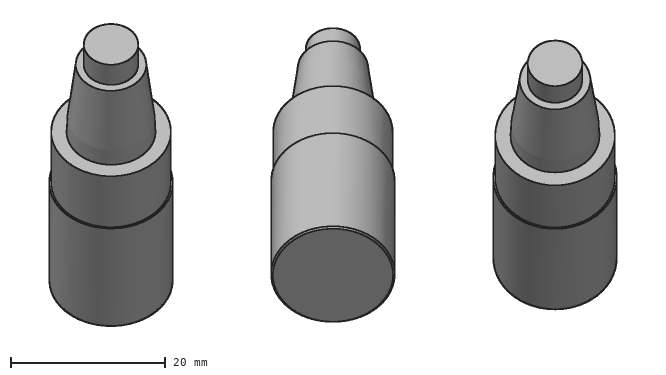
import cadquery as cq

base_height = 19.22
shoulder_height = 29.15
collar_top = 31.9
taper_top = 42.2
total_height = 46.1

base_diameter = 16.0
barrel_diameter = 15.5
collar_base_diameter = 11.52
taper_base_diameter = 11.3
taper_top_diameter = 9.15
tip_diameter = 7.05

base_chamfer = 0.25


def make_base():
    """Plain cylinder with a small chamfer around its bottom edge."""
    cylinder = cq.Workplane("XY").circle(base_diameter / 2).extrude(base_height)
    return cylinder.faces("<Z").edges().chamfer(base_chamfer)


def make_nozzle():
    """Turned body standing on the base: barrel, drafted collar, taper and tip."""
    profile = [
        (0, base_height),
        (barrel_diameter / 2, base_height),
        (barrel_diameter / 2, shoulder_height),
        (collar_base_diameter / 2, shoulder_height),
        (taper_base_diameter / 2, collar_top),
        (taper_top_diameter / 2, taper_top),
        (tip_diameter / 2, taper_top),
        (tip_diameter / 2, total_height),
        (0, total_height),
    ]
    return cq.Workplane("XZ").polyline(profile).close().revolve(360, (0, 0), (0, 1))


base = make_base()
nozzle = make_nozzle()

result = cq.Compound.makeCompound([base.val(), nozzle.val()])